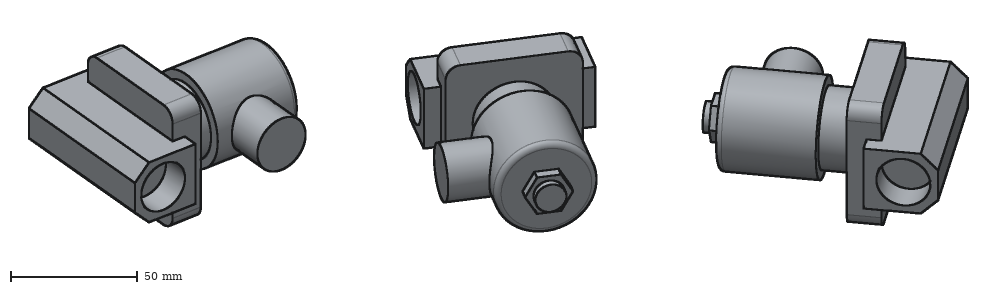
import cadquery as cq
import math


block_length = 70.0
block_width = 28.0
block_depth = 30.0
block_chamfer = 7.0

port_diameter = 21.7
port_depth = 12.6
port_axis_y = 14.0

flange_side = 56.0
flange_start_y = 24.0
flange_thickness = 14.0
flange_corner_radius = 6.0
flange_end_y = flange_start_y + flange_thickness

neck_diameter = 34.0
neck_height = 13.3
neck_end_y = flange_end_y + neck_height

spigot_diameter = 28.0
spigot_height = 0.35
spigot_end_y = neck_end_y + spigot_height

coil_diameter = 42.0
coil_height = 40.5
coil_edge_radius = 2.5
conduit_diameter = 24.0
conduit_end_x = 37.8
conduit_offset = 19.0
coil_end_y = spigot_end_y + coil_height
conduit_axis_y = spigot_end_y + conduit_offset

nut_across_flats = 17.0
nut_height = 4.4
nut_across_corners = nut_across_flats / math.cos(math.pi / 6)
nut_end_y = coil_end_y + nut_height
tip_diameter = 12.7
overall_height = 99.68
tip_height = overall_height - nut_end_y


def plane_facing_y(y):
    """Plane at height y whose normal is +Y and whose local x is +X."""
    return cq.Plane(origin=(0, y, 0), xDir=(1, 0, 0), normal=(0, 1, 0))


def disc(diameter, start_y, height):
    """Cylinder on the coil axis."""
    return cq.Workplane(plane_facing_y(start_y)).circle(diameter / 2).extrude(height)


def make_block():
    """Bar along X with its two outer long edges chamfered."""
    bar = cq.Workplane("XY").box(block_length, block_depth, block_width, centered=(True, False, True))
    return bar.faces("<Y").edges("|X").chamfer(block_chamfer)


def make_flange():
    """Square plate with rounded corners."""
    plate = cq.Workplane(plane_facing_y(flange_start_y)).rect(flange_side, flange_side)
    return plate.extrude(flange_thickness).edges("|Y").fillet(flange_corner_radius)


def make_ports():
    """Blind cylinders reaching into the block from both ends."""
    ports = cq.Workplane("XY")
    for side in (-1, 1):
        port = cq.Solid.makeCylinder(
            port_diameter / 2,
            port_depth,
            cq.Vector(side * block_length / 2, port_axis_y, 0),
            cq.Vector(-side, 0, 0),
        )
        ports = ports.add(port)
    return ports.combine()


def make_valve_body():
    """Block, flange, neck and spigot in one piece, with the ports cut in."""
    neck = disc(neck_diameter, flange_end_y, neck_height)
    spigot = disc(spigot_diameter, neck_end_y, spigot_height)
    return make_block().union(make_flange()).union(neck).union(spigot).cut(make_ports())


def make_coil():
    """Coil housing with its conduit outlet, nut and stud tip, seated on the spigot."""
    housing = disc(coil_diameter, spigot_end_y, coil_height).faces(">Y").edges().fillet(coil_edge_radius)
    conduit_plane = cq.Workplane("YZ").center(conduit_axis_y, 0)
    conduit = conduit_plane.circle(conduit_diameter / 2).extrude(conduit_end_x)
    nut = cq.Workplane(plane_facing_y(coil_end_y)).polygon(6, nut_across_corners).extrude(nut_height)
    tip = disc(tip_diameter, nut_end_y, tip_height)
    return housing.union(conduit).union(nut).union(tip)


valve_body = make_valve_body()
coil = make_coil()

result = cq.Compound.makeCompound([valve_body.val(), coil.val()])